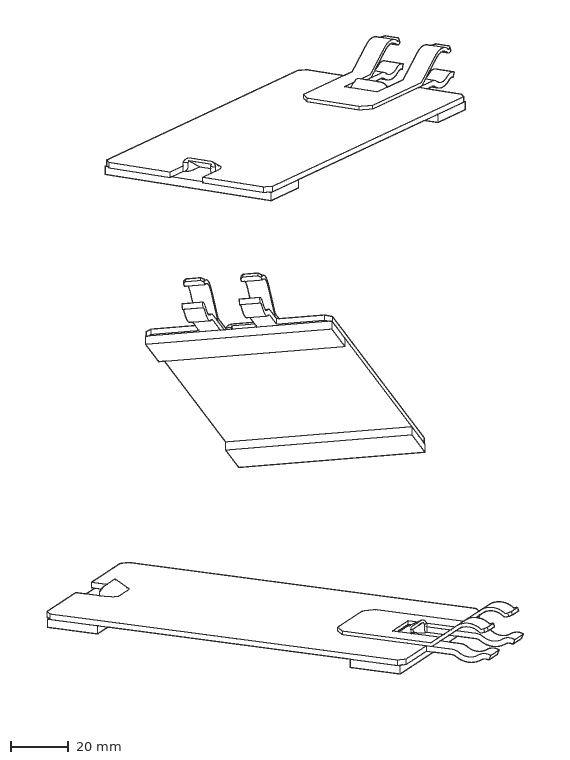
import cadquery as cq
import math

width = 66.67
overall_length = 161.24
overall_height = 15.21

pad_length = 19.05
pad_thickness = 3.0
pad_setback = 1.25

plate_length = 136.7
plate_thickness = 2.0
plate_corner = 2.3
plate_bottom = pad_thickness
plate_top = plate_bottom + plate_thickness
plate_middle = (plate_bottom + plate_top) / 2

finger_gap = 13.1
finger_span = 27.8
finger_width = (finger_span - finger_gap) / 2
finger_center = (finger_span + finger_gap) / 4
grip_y = 152.8
grip_angle = 37.0
grip_sin = math.sin(math.radians(grip_angle))
grip_cos = math.cos(math.radians(grip_angle))

trough_radius = 6.5 + plate_thickness / 2
trough_depth = 2.0
trough_angle = 34.5
trough_turn = math.radians(trough_angle)
crest_radius = trough_depth / (1 - math.cos(trough_turn)) - trough_radius
trough_half_length = (trough_radius + crest_radius) * math.sin(trough_turn)
droop_length = overall_length - grip_y - trough_half_length
droop_angle = math.degrees(math.asin(droop_length / (crest_radius + plate_thickness / 2)))

clip_thickness = 1.3
clip_start = 101.4
clip_corner = 3.4
clip_slot_end = 120.6
clip_middle = plate_top + clip_thickness / 2
bend_radius = 1.0
hump_radius = 7.0
lip_radius = 0.7
lip_length = 2.0
lip_fall = 38.0
lip_angle = 20.0
lip_corner = 1.0
hump_rise = overall_height - clip_thickness / 2 - clip_middle
arm_rise = hump_rise - (bend_radius + hump_radius) * (1 - grip_cos)
arm_length = arm_rise / grip_sin
arm_run = arm_length * grip_cos + (bend_radius + hump_radius) * grip_sin
bend_start = grip_y - arm_run

louver_mouth = 9.0
louver_back = 15.4
louver_height = 3.0
louver_angle = 28.5
louver_round = 2.4
louver_skin = 1.0
louver_ceiling_width = 9.0
louver_ramp = 20.0
louver_rise = math.tan(math.radians(louver_angle))
louver_crest = louver_back - louver_height / louver_rise


def strip(start, moves, thickness):
    """Side outline of a bent sheet, followed along its middle surface from a +Y heading.

    A move is (length, 0) for a straight run or (radius, turn in degrees) for a bend, up being positive.
    """
    y, z = start
    heading = 0.0
    half = thickness / 2

    def side(point, angle, offset):
        a = math.radians(angle)
        return (point[0] - offset * math.sin(a), point[1] + offset * math.cos(a))

    stations = [(start, 0.0)]
    middles = []
    for size, turn in moves:
        if turn == 0:
            y += size * math.cos(math.radians(heading))
            z += size * math.sin(math.radians(heading))
            middles.append(None)
        else:
            swing = math.copysign(size, turn)
            center = side((y, z), heading, swing)
            half_way = heading + turn / 2
            middles.append((side(center, half_way, -swing), half_way))
            heading += turn
            y, z = side(center, heading, -swing)
        stations.append(((y, z), heading))

    outline = cq.Workplane("YZ").moveTo(*side(*stations[0], half))
    for middle, end in zip(middles, stations[1:]):
        if middle is None:
            outline = outline.lineTo(*side(*end, half))
        else:
            outline = outline.threePointArc(side(*middle, half), side(*end, half))
    outline = outline.lineTo(*side(*stations[-1], -half))
    for middle, end in zip(reversed(middles), reversed(stations[:-1])):
        if middle is None:
            outline = outline.lineTo(*side(*end, -half))
        else:
            outline = outline.threePointArc(side(*middle, -half), side(*end, -half))
    return outline.close()


def both_fingers(outline):
    """The finger for each side of the gap."""
    finger = outline.extrude(finger_width / 2, both=True)
    return [finger.translate((side * finger_center, 0, 0)) for side in (-1, 1)]


def both_ends(shape):
    """A shape at the plate's -Y end, and its mirror image at the +Y end."""
    return [shape, shape.mirror("XZ", (0, plate_length / 2, 0))]


def ramp_plane():
    """Plane across the louver's slope, at its crest: local x is X, local y is square to the top face."""
    a = math.radians(louver_angle)
    return cq.Plane(
        origin=(0, louver_crest, plate_top + louver_height),
        xDir=(1, 0, 0),
        normal=(0, -math.cos(a), math.sin(a)),
    )


def louver_shell():
    """Sloping hood with rounded shoulders, trimmed square at the mouth and at the plate's underside."""
    hood = (
        cq.Workplane(ramp_plane())
        .center(0, -louver_ramp / 2)
        .rect(finger_gap, louver_ramp)
        .extrude(-louver_ramp)
        .edges(cq.selectors.ParallelDirSelector(ramp_plane().zDir))
        .edges(">Z")
        .fillet(louver_round)
    )
    trim = (
        cq.Workplane("XY", origin=(0, louver_mouth + louver_ramp / 2, plate_bottom))
        .rect(finger_gap, louver_ramp)
        .extrude(louver_ramp)
    )
    return hood.intersect(trim)


def louver_cavity():
    """Channel under the hood; its side walls curl outward to the full width at the plate's underside."""
    half_top = louver_ceiling_width / 2
    half_base = finger_gap / 2
    curl = half_base - half_top
    mouth_height = louver_height + plate_thickness + (louver_crest - louver_mouth) * louver_rise
    base = -mouth_height * math.cos(math.radians(louver_angle))
    return (
        cq.Workplane(ramp_plane())
        .moveTo(-half_top, -louver_skin)
        .lineTo(half_top, -louver_skin)
        .lineTo(half_top, base + curl)
        .radiusArc((half_base, base), -curl)
        .lineTo(-half_base, base)
        .radiusArc((-half_top, base + curl), -curl)
        .close()
        .extrude(louver_ramp, both=True)
    )


def make_plate():
    plate = (
        cq.Workplane("XY", origin=(0, plate_length / 2, plate_bottom))
        .rect(width, plate_length)
        .extrude(plate_thickness)
        .edges("|Z")
        .chamfer(plate_corner)
    )
    trough = [
        (grip_y - trough_half_length - clip_start, 0),
        (crest_radius, -trough_angle),
        (trough_radius, 2 * trough_angle),
        (crest_radius, -trough_angle - droop_angle),
    ]
    for finger in both_fingers(strip((clip_start, plate_middle), trough, plate_thickness)):
        plate = plate.union(finger)
    notch = (
        cq.Workplane("XY", origin=(0, 0, plate_bottom))
        .rect(finger_gap, 2 * louver_mouth)
        .extrude(plate_thickness)
    )
    for shell in both_ends(louver_shell()):
        plate = plate.union(shell)
    for opening in both_ends(louver_cavity()) + both_ends(notch):
        plate = plate.cut(opening)
    return plate


def make_clip():
    tail = (
        cq.Workplane("XY", origin=(0, (clip_start + bend_start) / 2, plate_top))
        .rect(finger_span, bend_start - clip_start)
        .extrude(clip_thickness)
        .edges("|Z and <Y")
        .chamfer(clip_corner)
    )
    slot = (
        cq.Workplane("XY", origin=(0, (clip_slot_end + overall_length) / 2, plate_top))
        .rect(finger_gap, overall_length - clip_slot_end)
        .extrude(clip_thickness)
    )
    clip = tail.cut(slot)
    arm = [
        (bend_start - clip_slot_end, 0),
        (bend_radius, grip_angle),
        (arm_length, 0),
        (hump_radius, -grip_angle - lip_fall),
        (lip_radius, lip_fall + lip_angle),
        (lip_length, 0),
    ]
    for finger in both_fingers(strip((clip_slot_end, clip_middle), arm, clip_thickness)):
        clip = clip.union(finger.faces(">Y").edges("not |X").chamfer(lip_corner))
    return clip


def make_pad():
    return (
        cq.Workplane("XY", origin=(0, pad_setback + pad_length / 2, 0))
        .rect(width, pad_length)
        .extrude(pad_thickness)
    )


plate = make_plate()
clip = make_clip()
pads = both_ends(make_pad())

result = cq.Compound.makeCompound([plate.val(), clip.val(), *[pad.val() for pad in pads]])